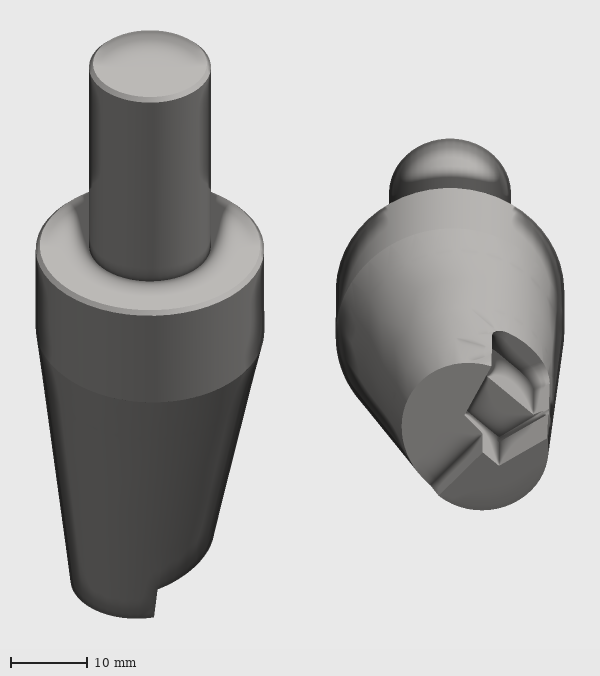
import cadquery as cq
import math

total_height = 88.0
shank_diameter = 16.0
head_diameter = 30.0
head_height = 58.5
edge_chamfer = 0.5

nose_half_angle = 8.0
seam_height = 46.0

seat_x = -11.5
clearance_x = -6.2
pocket_left_y = 5.1
seat_right_y = -5.3
clearance_right_y = -5.1
pocket_reference_x = -13.7
wall_angle = 15.0
seat_right_angle = 25.0
pocket_top = 18.7
pocket_corner_radius = 2.3
seat_bottom = 8.6
ledge_rise = 0.35
relief_radius = 0.7
relief_height = 7.8
relief_offset = 0.3

tip_face_y = -0.2
tip_step_height = 5.6
tip_slope_angle = 18.4

head_radius = head_diameter / 2
margin = 4.4
mouth_x = -head_radius - margin


def sin_deg(angle):
    return math.sin(math.radians(angle))


def cos_deg(angle):
    return math.cos(math.radians(angle))


def tan_deg(angle):
    return math.tan(math.radians(angle))


def seam_z(x):
    """Height of the tilted plane in which the collar and the cone meet."""
    return seam_height - (x + head_radius) * tan_deg(nose_half_angle / 2)


def zone_between(bottom_left, bottom_right, top_left, top_right):
    """Wide block whose lower and upper faces may be tilted about Y."""
    half_width = head_radius + margin
    return (
        cq.Workplane("XZ")
        .polyline([
            (-half_width, bottom_left),
            (half_width, bottom_right),
            (half_width, top_right),
            (-half_width, top_left),
        ])
        .close()
        .extrude(half_width, both=True)
    )


def make_collar():
    cylinder = (
        cq.Workplane("XY")
        .circle(head_radius)
        .extrude(head_height)
        .faces(">Z")
        .chamfer(edge_chamfer)
    )
    half_width = head_radius + margin
    above_seam = zone_between(
        seam_z(-half_width), seam_z(half_width), head_height + margin, head_height + margin
    )
    return cylinder.intersect(above_seam)


def make_nose():
    """Leaning cone around the sphere that also touches the collar cylinder."""
    axis = cq.Vector(sin_deg(nose_half_angle), 0, cos_deg(nose_half_angle))
    apex = cq.Vector(0, 0, seam_height) - axis * (head_radius / sin_deg(nose_half_angle))
    cone_length = (cq.Vector(0, 0, head_height) - apex).Length
    cone = cq.Solid.makeCone(0, cone_length * tan_deg(nose_half_angle), cone_length, apex, axis)
    half_width = head_radius + margin
    below_seam = zone_between(0, 0, seam_z(-half_width), seam_z(half_width))
    return below_seam.intersect(cq.Workplane(obj=cone))


def left_wall_y(x):
    return pocket_left_y - (x - pocket_reference_x) * tan_deg(wall_angle)


def seat_right_wall_y(x):
    return seat_right_y + (x - pocket_reference_x) * tan_deg(seat_right_angle)


def clearance_right_wall_y(x):
    return clearance_right_y + (x - pocket_reference_x) * tan_deg(wall_angle)


def tapered_pocket(floor_x, right_wall_y, bottom, top):
    """Pocket narrowing from its -X mouth to a flat floor."""
    return (
        cq.Workplane("XY", origin=(0, 0, bottom))
        .polyline([
            (mouth_x, left_wall_y(mouth_x)),
            (mouth_x, right_wall_y(mouth_x)),
            (floor_x, right_wall_y(floor_x)),
            (floor_x, left_wall_y(floor_x)),
        ])
        .close()
        .extrude(top - bottom)
    )


def make_seat_cutter():
    seat = tapered_pocket(seat_x, seat_right_wall_y, seat_bottom, pocket_top)
    return seat.faces(">Z").edges("not |Y").fillet(pocket_corner_radius)


def make_clearance_cutter():
    """Deeper channel below the seat, with a ledge that slopes up toward the mouth."""
    channel = tapered_pocket(clearance_x, clearance_right_wall_y, -margin, seat_bottom + ledge_rise)
    ledge_prism = (
        cq.Workplane("XZ")
        .polyline([
            (mouth_x, -margin),
            (clearance_x, -margin),
            (clearance_x, seat_bottom),
            (seat_x, seat_bottom + ledge_rise),
            (mouth_x, seat_bottom + ledge_rise),
        ])
        .close()
        .extrude(head_radius, both=True)
    )
    return channel.intersect(ledge_prism)


def make_relief_cutter():
    """Round corner relief running along the sloped -Y wall."""
    start_y = clearance_right_wall_y(mouth_x) + relief_offset
    end_y = clearance_right_wall_y(clearance_x) + relief_offset
    start = cq.Vector(mouth_x, start_y, relief_height)
    run = cq.Vector(clearance_x, end_y, relief_height) - start
    return cq.Workplane(obj=cq.Solid.makeCylinder(relief_radius, run.Length, start, run))


def make_tip_cutter():
    """Removes the +Y side of the tip up to a sloped shoulder."""
    reach = head_radius + margin
    return (
        cq.Workplane("YZ")
        .polyline([
            (tip_face_y, -margin),
            (reach, -margin),
            (reach, tip_step_height + (reach - tip_face_y) * tan_deg(tip_slope_angle)),
            (tip_face_y, tip_step_height),
        ])
        .close()
        .extrude(reach, both=True)
    )


def make_head():
    head = make_collar().union(make_nose())
    for cutter in (
        make_seat_cutter(), make_clearance_cutter(), make_relief_cutter(), make_tip_cutter()
    ):
        head = head.cut(cutter)
    return head


def make_shank():
    """Cylindrical shank standing on the collar."""
    return (
        cq.Workplane("XY", origin=(0, 0, head_height))
        .circle(shank_diameter / 2)
        .extrude(total_height - head_height)
        .faces(">Z")
        .chamfer(edge_chamfer)
    )


head = make_head()
shank = make_shank()
result = cq.Compound.makeCompound([head.val(), shank.val()])